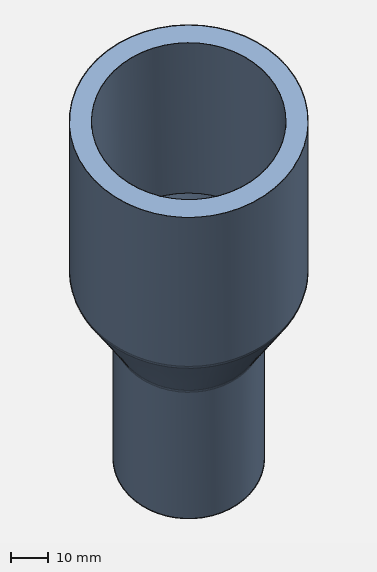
import cadquery as cq

total_height = 150.0
large_outer_diameter = 63.0
large_bore_diameter = 51.3
small_outer_diameter = 40.0
small_bore_diameter = 32.7
small_pipe_length = 57.0
cone_height = 26.0
blend_radius = 3.0
selection_margin = 1.5

cone_top = small_pipe_length + cone_height


def reducer_body(small_diameter, large_diameter):
    """Solid of revolution: small cylinder, cone, then large cylinder, along Z."""
    small_radius = small_diameter / 2
    large_radius = large_diameter / 2
    return (
        cq.Workplane("XZ")
        .moveTo(0, 0)
        .lineTo(small_radius, 0)
        .lineTo(small_radius, small_pipe_length)
        .lineTo(large_radius, cone_top)
        .lineTo(large_radius, total_height)
        .lineTo(0, total_height)
        .close()
        .revolve(360, (0, 0, 0), (0, 1, 0))
    )


def blend_cone_ends(body):
    """Round the two circular edges where the cone meets the cylinders."""
    cone_end_edges = cq.selectors.BoxSelector(
        (-large_outer_diameter, -large_outer_diameter, small_pipe_length - selection_margin),
        (large_outer_diameter, large_outer_diameter, cone_top + selection_margin),
    )
    return body.edges("%CIRCLE").edges(cone_end_edges).fillet(blend_radius)


outer = blend_cone_ends(reducer_body(small_outer_diameter, large_outer_diameter))
bore = reducer_body(small_bore_diameter, large_bore_diameter)
result = outer.cut(bore)